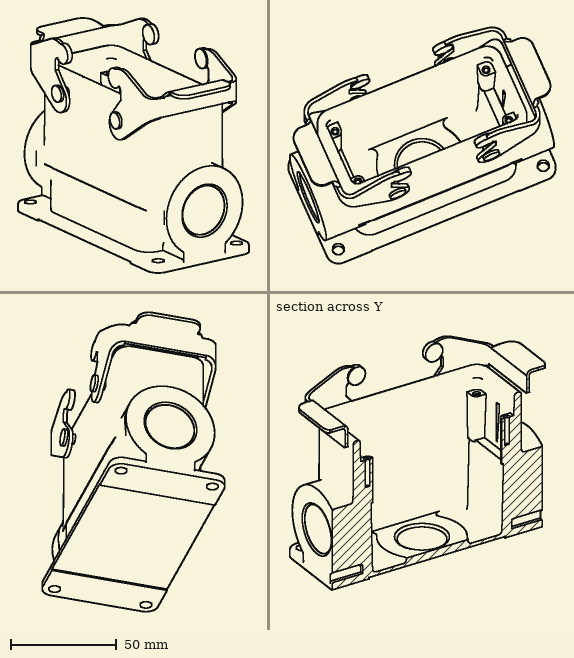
import cadquery as cq
import math

PLATE_LENGTH = 117.0
PLATE_WIDTH = 57.0
PLATE_HEIGHT = 4.2
PLATE_CORNER_RADIUS = 6.0
PLATE_EDGE_FILLET = 1.1
UNDERCUT_LENGTH = 75.8
UNDERCUT_HEIGHT = 0.7
MOUNT_HOLE_DIAMETER = 5.5
MOUNT_HOLE_X = 52.6
MOUNT_HOLE_Y = 22.5

LOWER_LENGTH = 82.9
LOWER_WIDTH = 45.1
LOWER_TOP_Z = 26.0
UPPER_LENGTH = 93.8
UPPER_WIDTH = 43.8
UPPER_BOTTOM_WIDEN = 0.4
STRAIGHT_WALL_Z = 49.2
LOWER_CORNER_RADIUS = 8.3
UPPER_CORNER_RADIUS = 7.4
RIM_Z = 76.7
RIM_WALL = 4.3
WALL_TOP_Z = RIM_Z - RIM_WALL / 2

ENTRY_Z = 26.4
ENTRY_RADIUS = 22.0
ENTRY_UPPER_FILLET = 1.2
ENTRY_LOWER_FILLET = 1.2
ENTRY_NECK_WIDTH = 24.0
BORE_DIAMETER = 24.3
BORE_MOUTH_DIAMETER = 26.0
BORE_BOTTOM_DIAMETER = 19.0
BORE_DEPTH = 15.5
BORE_BOTTOM_FILLET = 2.3
SCOOP_X = 52.6
SCOOP_RADIUS = 6.0
SCOOP_DEPTH = 1.5
SCOOP_EDGE_FILLET = 0.4

INNER_DRAFT_TOP_Z = 71.1
LEDGE_Z = 41.7
LEDGE_LENGTH = 82.9
LEDGE_OPENING = 73.3
CHAMBER_LENGTH = 71.6
CHAMBER_WIDTH = 33.6
FLOOR_Z = 5.4
POCKET_DEPTH = 2.5
POCKET_BOTTOM_FILLET = 1.8
POCKET_TIP_RADIUS = 3.0
FLOOR_ISLAND_RADIUS = 21.5
KNOCKOUT_DIAMETER = 23.5
KNOCKOUT_DEPTH = 2.5
KNOCKOUT_FILLET = 1.0
KNOCKOUT_MOUTH_DIAMETER = 26.0
POST_TOP_Z = 64.9
POST_INNER_Y = 10.8
POST_CORNER_RADIUS = 2.7
SCREW_X = 38.7
SCREW_Y = 13.6
SCREW_DIAMETER = 2.2
SCREW_MOUTH_DIAMETER = 3.5
SCREW_DEPTH = 14.7
RIB_DIAMETER = 2.2

SHEET = 1.8
LEVER_WIDTH = 52.5
LEVER_END_X = 51.4
LEVER_BEND_RADIUS = 6.1
LEVER_TOP_Z = 92.8
PIVOT_X = 24.0
PIVOT_Z = 67.0
PIN_DIAMETER = 4.8
PIN_HEAD_DIAMETER = 8.0
PIN_SPAN = 55.2
EYE_X = 24.5
EYE_Z = 64.4
EYE_RADIUS = 6.9
EYE_START_ANGLE = 43
EYE_END_ANGLE = -125
HOOK_X = 21.5
HOOK_Z = 87.2
HOOK_RADIUS = 4.8
HOOK_EMBOSS = 0.7
SHOULDER_ARC = ((-47.3, 84.7), (-45.0, 85.7))
CREST_START = (-31.4, 92.1)
CREST_X = -28.2
CREST_END = (-20.4, 90.5)
THROAT_X = -26.8
THROAT_BOTTOM_Z = 77.6
THROAT_START = (-23.8, 84.1)
THROAT_ARC = ((-26.0, 83.9), (THROAT_X, 81.9))
TAB_END_X = 61.3
TAB_TOP_Z = 86.8
TAB_THICKNESS = 1.7
TAB_WIDTH = 30.6
TAB_CORNER_RADIUS = 5.5
TAB_ROOT_WIDTH = 36.5
TAB_BEND_RADIUS = 1.1
BAND_TOP_Z = 84.2
BAND_BOTTOM_Z = 74.7

OVERLAP = 1.2
MARGIN = 0.1
ENDS = (-1, 1)
CORNERS = [(x, y) for x in ENDS for y in ENDS]


def rounded_block(length, width, radius, z_bottom, z_top):
    block = cq.Workplane("XY").workplane(offset=z_bottom).rect(length, width).extrude(z_top - z_bottom)
    return block.edges("|Z").fillet(radius)


def both_ends(solid):
    return solid.union(solid.mirror("YZ"))


def base_plate():
    plate = rounded_block(PLATE_LENGTH, PLATE_WIDTH, PLATE_CORNER_RADIUS, 0, PLATE_HEIGHT)
    return plate.faces(">Z").edges().fillet(PLATE_EDGE_FILLET)


def housing_walls():
    lower = rounded_block(LOWER_LENGTH, LOWER_WIDTH, LOWER_CORNER_RADIUS, 0, LOWER_TOP_Z)
    upper = rounded_block(UPPER_LENGTH, UPPER_WIDTH, UPPER_CORNER_RADIUS, STRAIGHT_WALL_Z, WALL_TOP_Z)
    drafted_height = STRAIGHT_WALL_Z - LOWER_TOP_Z
    draft = math.degrees(math.atan(UPPER_BOTTOM_WIDEN / drafted_height))
    drafted = (
        cq.Workplane("XY")
        .workplane(offset=STRAIGHT_WALL_Z)
        .sketch()
        .rect(UPPER_LENGTH, UPPER_WIDTH)
        .vertices()
        .fillet(UPPER_CORNER_RADIUS)
        .finalize()
        .extrude(-drafted_height, taper=-draft)
    )
    return lower.union(drafted).union(upper)


def rim_bead():
    """Half-round seal bead running along the top of the walls."""
    radius = RIM_WALL / 2
    length = UPPER_LENGTH - RIM_WALL
    width = UPPER_WIDTH - RIM_WALL
    base = rounded_block(length, width, UPPER_CORNER_RADIUS - radius, WALL_TOP_Z, RIM_Z)
    path = base.faces("<Z").wires().val()
    bead = cq.Workplane("YZ", origin=(0, -width / 2, WALL_TOP_Z))
    bead = bead.moveTo(-radius, 0).threePointArc((0, radius), (radius, 0)).close()
    return bead.sweep(cq.Workplane(path))


def cable_entry():
    """Round entry boss with its neck on the -X end."""
    end_x = PLATE_LENGTH / 2
    boss_length = end_x - CHAMBER_LENGTH / 2
    boss = cq.Workplane("YZ").workplane(offset=-end_x).center(0, ENTRY_Z).circle(ENTRY_RADIUS)
    boss = boss.extrude(boss_length)
    neck = cq.Workplane("XY").box(boss_length, ENTRY_NECK_WIDTH, ENTRY_Z, centered=(False, True, False))
    return boss.union(neck.translate((-end_x, 0, 0)))


def entry_bore():
    """Blind tapered bore with a chamfered mouth and a rounded bottom."""
    mouth_radius = BORE_MOUTH_DIAMETER / 2
    radius = BORE_DIAMETER / 2
    bottom_radius = BORE_BOTTOM_DIAMETER / 2
    cone = cq.Workplane("YZ").circle(radius).workplane(offset=BORE_DEPTH).circle(bottom_radius).loft()
    cone = cone.faces(">X").edges().fillet(BORE_BOTTOM_FILLET)
    mouth = cq.Workplane("YZ").circle(mouth_radius)
    mouth = mouth.workplane(offset=mouth_radius - radius).circle(radius).loft()
    return cone.union(mouth).translate((-PLATE_LENGTH / 2, 0, ENTRY_Z))


def entry_scoops():
    """Upright round cutters that leave an oval hollow on each side of the -X entry."""
    y = ENTRY_RADIUS + SCOOP_RADIUS - SCOOP_DEPTH
    scoops = cq.Workplane("XY").workplane(offset=PLATE_HEIGHT)
    scoops = scoops.pushPoints([(-SCOOP_X, -y), (-SCOOP_X, y)])
    return scoops.circle(SCOOP_RADIUS).extrude(2 * (ENTRY_Z - PLATE_HEIGHT))


def within(x_range, y_range, z_range):
    """Selector for the edges that lie wholly inside a box."""
    low, high = zip(x_range, y_range, z_range)
    return cq.selectors.BoxSelector(low, high, boundingbox=True)


def walls_with_entry():
    """The -X half of the housing walls with its cable entry and their fillets."""
    half = cq.Workplane("XY").box(PLATE_LENGTH, PLATE_WIDTH, 2 * RIM_Z).translate((-PLATE_LENGTH / 2, 0, 0))
    walls = housing_walls().intersect(half).union(cable_entry())
    end_x = -PLATE_LENGTH / 2
    lower_x = -LOWER_LENGTH / 2
    upper_x = -UPPER_LENGTH / 2
    side = (-LOWER_WIDTH / 2, LOWER_WIDTH / 2)

    upper_seam = within((upper_x - OVERLAP, lower_x), side, (LOWER_TOP_Z - MARGIN, STRAIGHT_WALL_Z - MARGIN))
    walls = walls.edges(upper_seam).fillet(ENTRY_UPPER_FILLET)

    corner_x = (lower_x - MARGIN, lower_x + LOWER_CORNER_RADIUS)
    lower_corner = within(corner_x, side, (PLATE_HEIGHT, LOWER_TOP_Z + MARGIN))
    neck_seam = within((end_x - MARGIN, lower_x + MARGIN), side, (PLATE_HEIGHT, ENTRY_Z / 2))
    lower_edges = walls.edges(lower_corner).edges("%BSPLINE").vals() + walls.edges(neck_seam).vals()
    walls = walls.newObject(lower_edges).fillet(ENTRY_LOWER_FILLET)

    walls = walls.cut(entry_scoops())
    scoop_x = (-SCOOP_X - SCOOP_RADIUS, -SCOOP_X + SCOOP_RADIUS)
    walls = walls.edges(within(scoop_x, side, (ENTRY_Z / 2, WALL_TOP_Z))).fillet(SCOOP_EDGE_FILLET)
    return walls


def tapered_block(bottom_size, top_size, z_bottom, z_top):
    block = cq.Workplane("XY").workplane(offset=z_bottom).rect(*bottom_size)
    return block.workplane(offset=z_top - z_bottom).rect(*top_size).loft()


def chamber():
    """Hollow of the housing: straight at the rim, drafted to the ledge, narrower down to the floor."""
    rim_size = (UPPER_LENGTH - 2 * RIM_WALL, UPPER_WIDTH - 2 * RIM_WALL)
    corner_radius = UPPER_CORNER_RADIUS - RIM_WALL
    straight = rounded_block(*rim_size, corner_radius, INNER_DRAFT_TOP_Z, WALL_TOP_Z)
    wide = tapered_block((LEDGE_LENGTH, CHAMBER_WIDTH), rim_size, LEDGE_Z, INNER_DRAFT_TOP_Z)
    wide = wide.edges("not #Z").fillet(corner_radius)
    narrow = tapered_block((CHAMBER_LENGTH, CHAMBER_WIDTH), (LEDGE_OPENING, CHAMBER_WIDTH), FLOOR_Z, LEDGE_Z)
    return straight.union(wide).union(narrow)


def floor_pocket():
    """Pocket in the floor at the -X end, bounded by the round floor island."""
    bottom_z = FLOOR_Z - POCKET_DEPTH
    half_width = CHAMBER_WIDTH / 2
    half_length = CHAMBER_LENGTH / 2
    block = cq.Workplane("XY").box(half_length, CHAMBER_WIDTH, POCKET_DEPTH, centered=(False, True, False))
    block = block.translate((-half_length, 0, bottom_z))
    island = cq.Workplane("XY").workplane(offset=bottom_z).circle(FLOOR_ISLAND_RADIUS).extrude(POCKET_DEPTH)
    pocket = block.cut(island)
    tip_x = -math.sqrt(FLOOR_ISLAND_RADIUS**2 - half_width**2)
    for side in ENDS:
        tip = (tip_x, side * half_width, FLOOR_Z - POCKET_DEPTH / 2)
        pocket = pocket.edges(cq.selectors.NearestToPointSelector(tip)).fillet(POCKET_TIP_RADIUS)
    return pocket.faces("<Z").edges().fillet(POCKET_BOTTOM_FILLET)


def knockout():
    """Round thinned area in the middle of the floor."""
    radius = KNOCKOUT_DIAMETER / 2
    mouth_radius = KNOCKOUT_MOUTH_DIAMETER / 2
    recess = cq.Workplane("XY").workplane(offset=FLOOR_Z - KNOCKOUT_DEPTH).circle(radius)
    recess = recess.extrude(KNOCKOUT_DEPTH).faces("<Z").edges().fillet(KNOCKOUT_FILLET)
    mouth = cq.Workplane("XY").workplane(offset=FLOOR_Z).circle(mouth_radius)
    mouth = mouth.workplane(offset=radius - mouth_radius).circle(radius).loft()
    return recess.union(mouth)


def screw_posts():
    """Four corner posts, each with a countersunk screw hole."""
    inner_x = CHAMBER_LENGTH / 2
    outer_x = UPPER_LENGTH / 2 - RIM_WALL
    outer_y = UPPER_WIDTH / 2 - RIM_WALL
    foot_z = LEDGE_Z - OVERLAP
    post = cq.Workplane("XY").workplane(offset=foot_z)
    post = post.center(-(inner_x + outer_x) / 2, (POST_INNER_Y + outer_y) / 2)
    post = post.rect(outer_x - inner_x, outer_y - POST_INNER_Y).extrude(POST_TOP_Z - foot_z)
    post = post.edges("|Z and >X and <Y").fillet(POST_CORNER_RADIUS)

    top = cq.Workplane("XY", origin=(-SCREW_X, SCREW_Y, POST_TOP_Z))
    radius = SCREW_DIAMETER / 2
    mouth_radius = SCREW_MOUTH_DIAMETER / 2
    drill = top.circle(radius).extrude(-SCREW_DEPTH)
    mouth = top.circle(mouth_radius).workplane(offset=radius - mouth_radius).circle(radius).loft()
    post = post.cut(drill).cut(mouth)
    return both_ends(post.union(post.mirror("XZ")))


def end_ribs():
    """Round guide rib in the middle of each end wall."""
    x = UPPER_LENGTH / 2 - RIM_WALL
    foot_z = LEDGE_Z - OVERLAP
    ribs = cq.Workplane("XY").workplane(offset=foot_z).pushPoints([(-x, 0), (x, 0)])
    return ribs.circle(RIB_DIAMETER / 2).extrude(POST_TOP_Z - foot_z)


def on_circle(x, z, radius, degrees):
    angle = math.radians(degrees)
    return (x + radius * math.cos(angle), z + radius * math.sin(angle))


def lever_side_profile():
    """Side outline of the -X lever with its eye, throat and hook."""
    return (
        cq.Workplane("XZ")
        .moveTo(-LEVER_END_X, BAND_TOP_Z)
        .lineTo(SHEET - LEVER_END_X, BAND_TOP_Z)
        .threePointArc(*SHOULDER_ARC)
        .lineTo(*CREST_START)
        .threePointArc((CREST_X, LEVER_TOP_Z), CREST_END)
        .lineTo(-HOOK_X, HOOK_Z)
        .lineTo(*THROAT_START)
        .threePointArc(*THROAT_ARC)
        .lineTo(THROAT_X, THROAT_BOTTOM_Z)
        .lineTo(*on_circle(-EYE_X, EYE_Z, EYE_RADIUS, EYE_START_ANGLE))
        .threePointArc(
            on_circle(-EYE_X, EYE_Z, EYE_RADIUS, (EYE_START_ANGLE + EYE_END_ANGLE) / 2),
            on_circle(-EYE_X, EYE_Z, EYE_RADIUS, EYE_END_ANGLE),
        )
        .lineTo(-LEVER_END_X, BAND_BOTTOM_Z)
        .close()
        .extrude(LEVER_WIDTH / 2, both=True)
    )


def lever_sheet():
    """Sheet bent to a U around the -X end, as tall as the lever."""
    length = LEVER_END_X
    inner_width = LEVER_WIDTH - 2 * SHEET
    outer = cq.Workplane("XY").box(length, LEVER_WIDTH, LEVER_TOP_Z, centered=(False, True, False))
    outer = outer.edges("|Z and <X").fillet(LEVER_BEND_RADIUS)
    inner = cq.Workplane("XY").box(length, inner_width, LEVER_TOP_Z, centered=(False, True, False))
    inner = inner.edges("|Z and <X").fillet(LEVER_BEND_RADIUS - SHEET)
    return outer.cut(inner.translate((SHEET, 0, 0))).translate((-length, 0, 0))


def lever_tab():
    """Grip bent outward from the top of the band."""
    inner = TAB_BEND_RADIUS
    outer = TAB_BEND_RADIUS + SHEET
    bend_x = -LEVER_END_X - inner
    bend_z = TAB_TOP_Z - outer
    underside_z = TAB_TOP_Z - TAB_THICKNESS
    root_z = BAND_TOP_Z - OVERLAP
    bent_strip = (
        cq.Workplane("XZ")
        .moveTo(-TAB_END_X, TAB_TOP_Z)
        .lineTo(bend_x, TAB_TOP_Z)
        .threePointArc(on_circle(bend_x, bend_z, outer, 45), (bend_x + outer, bend_z))
        .lineTo(bend_x + outer, root_z)
        .lineTo(-LEVER_END_X, root_z)
        .lineTo(-LEVER_END_X, underside_z - inner)
        .threePointArc(on_circle(bend_x, underside_z - inner, inner, 45), (bend_x, underside_z))
        .lineTo(-TAB_END_X, underside_z)
        .close()
        .extrude(TAB_ROOT_WIDTH / 2, both=True)
    )
    grip_length = TAB_END_X + bend_x
    grip = cq.Workplane("XY").box(grip_length, TAB_WIDTH, TAB_TOP_Z, centered=(False, True, False))
    grip = grip.edges("|Z and <X").fillet(TAB_CORNER_RADIUS).translate((-TAB_END_X, 0, 0))
    root = (
        cq.Workplane("YZ")
        .workplane(offset=bend_x)
        .moveTo(-TAB_WIDTH / 2, TAB_TOP_Z)
        .lineTo(TAB_WIDTH / 2, TAB_TOP_Z)
        .lineTo(TAB_ROOT_WIDTH / 2, BAND_TOP_Z)
        .lineTo(TAB_ROOT_WIDTH / 2, root_z)
        .lineTo(-TAB_ROOT_WIDTH / 2, root_z)
        .lineTo(-TAB_ROOT_WIDTH / 2, BAND_TOP_Z)
        .close()
        .extrude(inner + SHEET)
    )
    return bent_strip.intersect(grip.union(root))


def rod_across(diameter, x, z, span):
    return cq.Workplane("XZ").center(x, z).circle(diameter / 2).extrude(span / 2, both=True)


def lever_pivots():
    """Pivot pin with its two heads, and the thickened hook tips."""
    pin = rod_across(PIN_DIAMETER, -PIVOT_X, PIVOT_Z, PIN_SPAN)
    heads = rod_across(PIN_HEAD_DIAMETER, -PIVOT_X, PIVOT_Z, PIN_SPAN).cut(
        rod_across(PIN_HEAD_DIAMETER, -PIVOT_X, PIVOT_Z, LEVER_WIDTH - SHEET)
    )
    hooks = rod_across(2 * HOOK_RADIUS, -HOOK_X, HOOK_Z, LEVER_WIDTH).cut(
        rod_across(2 * HOOK_RADIUS, -HOOK_X, HOOK_Z, LEVER_WIDTH - 2 * SHEET - 2 * HOOK_EMBOSS)
    )
    return pin.union(heads).union(hooks)


def lever():
    plates = lever_sheet().intersect(lever_side_profile())
    band_width = LEVER_WIDTH - 2 * LEVER_BEND_RADIUS
    below_band = cq.Workplane("XY").box(LEVER_END_X, band_width, BAND_BOTTOM_Z, centered=(False, True, False))
    plates = plates.cut(below_band.translate((-LEVER_END_X, 0, 0)))
    return plates.union(lever_tab()).union(lever_pivots())


body = both_ends(walls_with_entry()).union(base_plate())
body = body.cut(chamber()).cut(both_ends(floor_pocket())).cut(knockout())
body = body.cut(both_ends(entry_bore()))

mount_holes = (
    cq.Workplane("XY")
    .pushPoints([(x * MOUNT_HOLE_X, y * MOUNT_HOLE_Y) for x, y in CORNERS])
    .circle(MOUNT_HOLE_DIAMETER / 2)
    .extrude(PLATE_HEIGHT)
)
undercut = cq.Workplane("XY").box(UNDERCUT_LENGTH, PLATE_WIDTH, UNDERCUT_HEIGHT, centered=(True, True, False))
body = body.cut(mount_holes).cut(undercut)

body = body.union(rim_bead()).union(screw_posts()).union(end_ribs())
result = body.union(both_ends(lever().cut(chamber())))